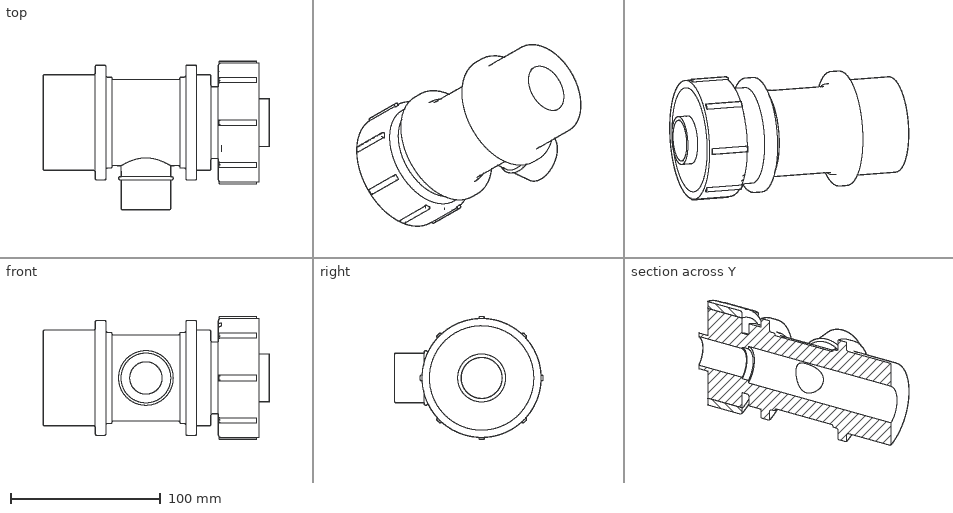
import cadquery as cq
import math


left_spigot_length = 34.8
flange_width = 7.2
collar_width = 4.0
waist_length = 45.2
right_spigot_length = 9.6
neck_length = 4.8
nut_length = 27.3
stub_length = 6.9

left_flange_start = left_spigot_length
left_collar_start = left_flange_start + flange_width
waist_start = left_collar_start + collar_width
waist_end = waist_start + waist_length
right_flange_start = waist_end + collar_width
right_spigot_start = right_flange_start + flange_width
neck_start = right_spigot_start + right_spigot_length
nut_start = neck_start + neck_length
nut_end = nut_start + nut_length
run_end = nut_end + stub_length

spigot_diameter = 64.0
flange_diameter = 76.8
collar_diameter = 60.8
waist_diameter = 57.6
neck_diameter = 48.0
plug_diameter = 69.7
stub_diameter = 32.0
run_bore_diameter = 32.0
neck_bore_diameter = 28.8
stub_bore_diameter = 27.2

edge_radius = 1.0
collar_edge_radius = 0.75

branch_x = (waist_start + waist_end) / 2
branch_reach = 58.15
branch_diameter = 33.25
branch_bore_diameter = 21.61
bead_distance = 37.2
bead_diameter = 36.5
bead_width = 2.4

nut_diameter = 79.54
nut_face_diameter = 75.44
nut_edge_radius = (nut_diameter - nut_face_diameter) / 2
rib_count = 8
rib_tip_diameter = 82.0
rib_width = 3.8
rib_setback = 0.5
rib_length = 25.1
rib_edge_radius = 0.8
rib_root_depth = 3.0


def run_cylinder(diameter, start, end):
    """Cylinder on the run axis between two X stations."""
    return cq.Workplane("YZ", origin=(start, 0, 0)).circle(diameter / 2).extrude(end - start)


def branch_cylinder(diameter, reach):
    """Cylinder on the branch axis, from the run axis out to -Y."""
    return cq.Workplane("XZ", origin=(branch_x, 0, 0)).circle(diameter / 2).extrude(reach)


def toward(start, end, distance):
    """Point at a given distance from start on the line to end."""
    ratio = distance / math.dist(start, end)
    return tuple(a + (b - a) * ratio for a, b in zip(start, end))


def revolve_rounded(corners):
    """Revolve a stepped outline about X; corners are (x, diameter, corner radius), all square."""
    points = [(x, diameter / 2) for x, diameter, _ in corners]
    radii = [radius for _, _, radius in corners]
    outline = cq.Workplane("XY").moveTo(*points[0])
    for before, corner, after, radius in zip(points, points[1:], points[2:], radii[1:]):
        if radius == 0:
            outline = outline.lineTo(*corner)
            continue
        arc_start = toward(corner, before, radius)
        arc_end = toward(corner, after, radius)
        chord_middle = toward(arc_start, arc_end, math.dist(arc_start, arc_end) / 2)
        arc_middle = toward(corner, chord_middle, radius * (math.sqrt(2) - 1))
        outline = outline.lineTo(*arc_start).threePointArc(arc_middle, arc_end)
    return outline.lineTo(*points[-1]).close().revolve(360, (0, 0, 0), (1, 0, 0))


def make_run():
    """Outside of the run with its flanges, collars, neck, plug and stub, still solid."""
    corners = [
        (0, 0, 0),
        (0, spigot_diameter, edge_radius),
        (left_flange_start, spigot_diameter, edge_radius),
        (left_flange_start, flange_diameter, edge_radius),
        (left_collar_start, flange_diameter, edge_radius),
        (left_collar_start, collar_diameter, edge_radius),
        (waist_start, collar_diameter, collar_edge_radius),
        (waist_start, waist_diameter, collar_edge_radius),
        (waist_end, waist_diameter, collar_edge_radius),
        (waist_end, collar_diameter, collar_edge_radius),
        (right_flange_start, collar_diameter, edge_radius),
        (right_flange_start, flange_diameter, edge_radius),
        (right_spigot_start, flange_diameter, edge_radius),
        (right_spigot_start, spigot_diameter, 0),
        (neck_start, spigot_diameter, edge_radius),
        (neck_start, neck_diameter, edge_radius),
        (nut_start, neck_diameter, 0),
        (nut_start, plug_diameter, 0),
        (nut_end, plug_diameter, 0),
        (nut_end, stub_diameter, 0),
        (run_end, stub_diameter, 0),
        (run_end, 0, 0),
    ]
    return revolve_rounded(corners)


def make_branch():
    """Branch spigot with a rounded free end and a bead with a half-round rim, still solid."""
    spigot = branch_cylinder(branch_diameter, branch_reach).faces("<Y").edges().fillet(edge_radius)
    flat_radius = (bead_diameter - bead_width) / 2
    bead = (
        cq.Workplane("XY", origin=(branch_x, -bead_distance, 0))
        .moveTo(0, -bead_width / 2)
        .lineTo(flat_radius, -bead_width / 2)
        .threePointArc((bead_diameter / 2, 0), (flat_radius, bead_width / 2))
        .lineTo(0, bead_width / 2)
        .close()
        .revolve(360, (0, 0, 0), (0, 1, 0))
    )
    return spigot.union(bead)


def make_fitting():
    """Tee fitting bored through from end to end and out through the branch."""
    fitting = make_run().union(make_branch())
    fitting = fitting.cut(run_cylinder(run_bore_diameter, 0, neck_start))
    fitting = fitting.cut(run_cylinder(neck_bore_diameter, neck_start, nut_start))
    fitting = fitting.cut(run_cylinder(stub_bore_diameter, nut_start, run_end))
    return fitting.cut(branch_cylinder(branch_bore_diameter, branch_reach))


def make_rib():
    """Grip rib at the top of the nut, rounded along its sides and at its front end."""
    rib_height = rib_tip_diameter / 2 - nut_diameter / 2 + rib_root_depth
    rib = cq.Workplane("XY").box(rib_length, rib_width, rib_height, centered=(False, True, False))
    rib = rib.faces(">Z").edges("not >X").fillet(rib_edge_radius)
    return rib.translate((nut_start + rib_setback, 0, rib_tip_diameter / 2 - rib_height))


def make_nut():
    """Ribbed nut around the plug of the fitting."""
    nut = run_cylinder(nut_diameter, nut_start, nut_end).faces("<X").edges().fillet(nut_edge_radius)
    rib = make_rib()
    for index in range(rib_count):
        nut = nut.union(rib.rotate((0, 0, 0), (1, 0, 0), index * 360 / rib_count))
    return nut.cut(run_cylinder(plug_diameter, nut_start, nut_end))


fitting = make_fitting()
nut = make_nut()

result = cq.Compound.makeCompound([fitting.val(), nut.val()])